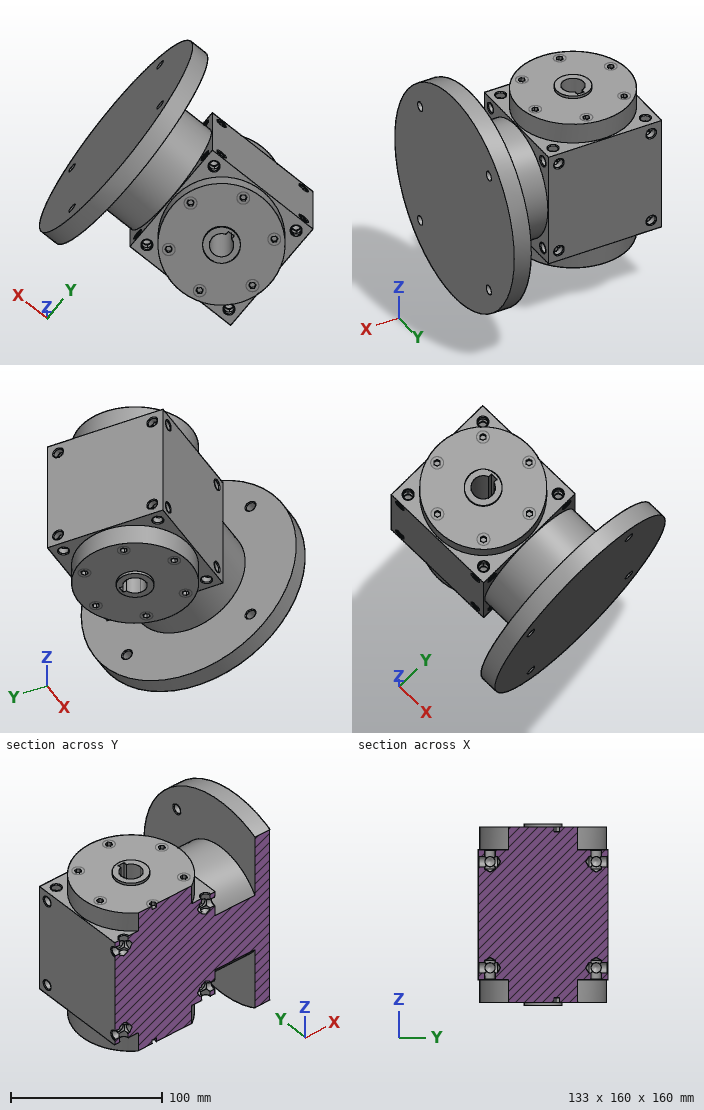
import cadquery as cq
import math


CUBE_SIDE = 86.0
HALF_CUBE = CUBE_SIDE / 2

COVER_DIAMETER = 84.0
COVER_HEIGHT = 15.0
COVER_FACE_Z = HALF_CUBE + COVER_HEIGHT
NECK_DIAMETER = COVER_DIAMETER
FLANGE_DIAMETER = 160.0
FLANGE_THICKNESS = 13.0
TOTAL_LENGTH = 133.0
NECK_LENGTH = TOTAL_LENGTH - CUBE_SIDE - FLANGE_THICKNESS
FLANGE_BACK_X = HALF_CUBE + NECK_LENGTH

TAP_DIAMETER = 6.7
TAP_MOUTH_DIAMETER = 8.0
TAP_CHAMFER = (TAP_MOUTH_DIAMETER - TAP_DIAMETER) / 2
TAP_DEPTH = 12.8
DRILL_POINT_ANGLE = 120.0
CUBE_HOLE_SPACING = 70.0
FLANGE_BOLT_CIRCLE = 130.0
FLANGE_HOLE_SPACING = FLANGE_BOLT_CIRCLE / math.sqrt(2)

SCREW_COUNT = 6
SCREW_CIRCLE = CUBE_HOLE_SPACING
SCREW_START_ANGLE = 15.0
SCREW_HEAD_DIAMETER = 8.5
SCREW_HEAD_HEIGHT = 5.0
SOCKET_ACROSS_FLATS = 4.0
SOCKET_ACROSS_CORNERS = SOCKET_ACROSS_FLATS / math.cos(math.radians(30))
SOCKET_DEPTH = 3.0

SHAFT_DIAMETER = 25.0
SHAFT_LENGTH = 120.0
BORE_DIAMETER = 16.0
KEYWAY_WIDTH = 5.0
KEYWAY_TOP_Y = 10.2


def tapped_hole(depth, blind):
    """Cutter for a chamfered hole that enters at the origin and runs along -Z."""
    radius = TAP_DIAMETER / 2
    tip_depth = depth
    if blind:
        tip_depth += radius / math.tan(math.radians(DRILL_POINT_ANGLE / 2))
    return (
        cq.Workplane("XZ")
        .moveTo(0, 0)
        .lineTo(TAP_MOUTH_DIAMETER / 2, 0)
        .lineTo(radius, -TAP_CHAMFER)
        .lineTo(radius, -depth)
        .lineTo(0, -tip_depth)
        .close()
        .revolve(360, (0, 0, 0), (0, 1, 0))
        .val()
    )


def square_hole_pattern(face_plane, spacing, cutter):
    """Four copies of the cutter at the corners of a square on the given plane."""
    corners = face_plane.rarray(spacing, spacing, 2, 2)
    return corners.eachpoint(lambda location: cutter.moved(location), useLocalCoordinates=True)


def cover_screws(outward):
    """Recesses for one ring of screw heads, and the heads; outward is +1 on top and -1 below."""
    face = (
        cq.Workplane("XY")
        .workplane(offset=outward * COVER_FACE_Z)
        .polarArray(SCREW_CIRCLE / 2, SCREW_START_ANGLE, 360, SCREW_COUNT)
    )
    recesses = face.circle(SCREW_HEAD_DIAMETER / 2).extrude(-outward * SCREW_HEAD_HEIGHT)
    sockets = face.polygon(6, SOCKET_ACROSS_CORNERS).extrude(-outward * SOCKET_DEPTH)
    return recesses, recesses.cut(sockets)


def make_housing():
    """Cube, covers, neck and flange in one piece, with the screws held in the covers."""
    cube = cq.Workplane("XY").box(CUBE_SIDE, CUBE_SIDE, CUBE_SIDE)
    covers = cq.Workplane("XY").circle(COVER_DIAMETER / 2).extrude(COVER_FACE_Z, both=True)
    neck = cq.Workplane("YZ").circle(NECK_DIAMETER / 2).extrude(FLANGE_BACK_X)
    flange = (
        cq.Workplane("YZ", origin=(FLANGE_BACK_X, 0, 0))
        .circle(FLANGE_DIAMETER / 2)
        .extrude(FLANGE_THICKNESS)
    )
    housing = cube.union(covers).union(neck).union(flange)

    housing = housing.cut(
        cq.Workplane("XY").circle(SHAFT_DIAMETER / 2).extrude(COVER_FACE_Z, both=True)
    )

    blind_hole = tapped_hole(TAP_DEPTH, blind=True)
    for face in (">X", "<X", ">Y", "<Y", ">Z", "<Z"):
        face_plane = cube.faces(face).workplane()
        housing = housing.cut(square_hole_pattern(face_plane, CUBE_HOLE_SPACING, blind_hole))

    through_hole = tapped_hole(FLANGE_THICKNESS, blind=False)
    flange_back = flange.faces("<X").workplane()
    housing = housing.cut(square_hole_pattern(flange_back, FLANGE_HOLE_SPACING, through_hole))

    for outward in (1, -1):
        recesses, heads = cover_screws(outward)
        housing = housing.cut(recesses, clean=False).union(heads, clean=False)
    return housing.solids()


def make_output_shaft():
    """Hollow shaft that stands slightly proud of both covers, with a keyway on its +Y side."""
    bore = cq.Workplane("XY").circle(BORE_DIAMETER / 2).extrude(SHAFT_LENGTH / 2, both=True)
    keyway = cq.Workplane("XY").box(
        KEYWAY_WIDTH, KEYWAY_TOP_Y, SHAFT_LENGTH, centered=(True, False, True)
    )
    shaft = cq.Workplane("XY").circle(SHAFT_DIAMETER / 2).extrude(SHAFT_LENGTH / 2, both=True)
    return shaft.cut(bore).cut(keyway).solids()


housing = make_housing()
output_shaft = make_output_shaft()

result = cq.Compound.makeCompound([housing.val(), output_shaft.val()])